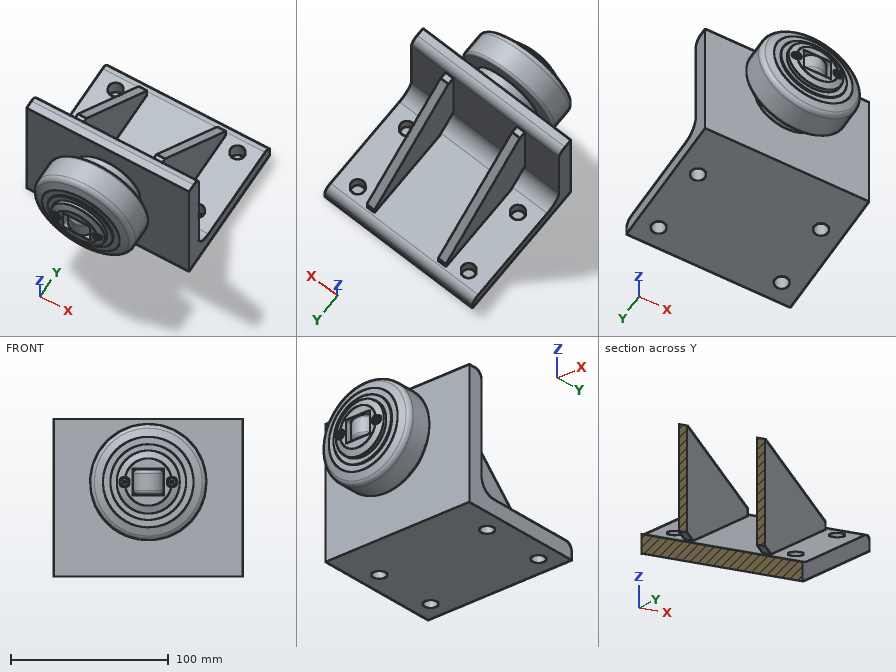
import cadquery as cq
import math

WIDTH = 120.0
LEG = 100.0
THICKNESS = 12.0
INNER_RADIUS = 12.0
EDGE_RADIUS = 6.0

HOLE_DIAMETER = 10.11
HOLE_PITCH_X = 90.0
HOLE_PITCH_Y = 50.0
HOLE_END_DISTANCE = 15.0

RIB_THICKNESS = 6.3
RIB_OFFSET = 29.0
RIB_HEIGHT = 92.0
RIB_TOP_LENGTH = 5.0
RIB_END_GAP = 8.0
RIB_TOE_HEIGHT = 5.0
RIB_CORNER_CLIP = 14.0

AXIS_HEIGHT = 60.0
HUB_RADIUS = 24.0
HUB_LENGTH = 34.2
TYRE_RADIUS = 36.9
TYRE_CROWN = 0.1
TYRE_BACK = 10.45
TYRE_BACK_ROUND = 2.0
TYRE_FRONT = 33.25
TYRE_FRONT_ROUND = 4.0
TYRE_FRONT_RADIUS = 28.7
TYRE_FRONT_ANGLE = math.radians(20)

CAP_RADIUS = 20.0
CAP_RIM = 36.6
CAP_TOP = 38.5
CAP_TOP_RADIUS = 15.0
WINDOW_WIDTH = 20.0
WINDOW_HEIGHT = 17.0
WINDOW_CORNER_RADIUS = 0.75

ROLLER_TIP = 40.0
ROLLER_RADIUS = 9.8
ROLLER_LENGTH = 16.0
ROLLER_ROUND = 2.5
ROLLER_AXIS = ROLLER_TIP - ROLLER_RADIUS

SCREW_OFFSET = 15.0
SCREW_BORE_DIAMETER = 6.5
SCREW_BORE_FLOOR = 34.5
SCREW_HEAD_DIAMETER = 5.35
SCREW_HEAD_TOP = 37.6
SOCKET_FLATS = 2.0
SOCKET_DEPTH = 1.5


def across_front(distance):
    """Workplane parallel to the mounting face, on the bearing axis, facing -Y."""
    return cq.Workplane("XZ", origin=(0, -distance, AXIS_HEIGHT))


def make_bracket():
    bracket = (
        cq.Workplane("YZ", origin=(-WIDTH / 2, 0, 0))
        .polyline([(0, 0), (LEG, 0), (LEG, THICKNESS), (THICKNESS, THICKNESS), (THICKNESS, LEG), (0, LEG)])
        .close()
        .extrude(WIDTH)
    )
    inner_edge = cq.selectors.NearestToPointSelector((0, THICKNESS, THICKNESS))
    bracket = bracket.edges(inner_edge).fillet(INNER_RADIUS)
    for y, z in [(LEG, THICKNESS), (THICKNESS, LEG)]:
        outer_edge = cq.selectors.NearestToPointSelector((0, y, z))
        bracket = bracket.edges(outer_edge).fillet(EDGE_RADIUS)

    holes = (
        cq.Workplane("XY", origin=(0, LEG - HOLE_END_DISTANCE - HOLE_PITCH_Y / 2, 0))
        .rarray(HOLE_PITCH_X, HOLE_PITCH_Y, 2, 2)
        .circle(HOLE_DIAMETER / 2)
        .extrude(THICKNESS)
    )
    return bracket.cut(holes)


def make_rib(center_x):
    end_y = LEG - RIB_END_GAP
    outline = [
        (THICKNESS, RIB_HEIGHT),
        (THICKNESS + RIB_TOP_LENGTH, RIB_HEIGHT),
        (end_y, THICKNESS + RIB_TOE_HEIGHT),
        (end_y, THICKNESS),
        (THICKNESS + RIB_CORNER_CLIP, THICKNESS),
        (THICKNESS, THICKNESS + RIB_CORNER_CLIP),
    ]
    plane = cq.Workplane("YZ", origin=(center_x - RIB_THICKNESS / 2, 0, 0))
    return plane.polyline(outline).close().extrude(RIB_THICKNESS)


def make_bearing_body():
    """Revolve hub, crowned tyre and cap; profile points are (radius, Y)."""
    shoulder = TYRE_RADIUS - TYRE_CROWN
    turn = math.pi / 2 - TYRE_FRONT_ANGLE
    round_end_radius = shoulder - TYRE_FRONT_ROUND * (1 - math.cos(turn))
    round_end = TYRE_FRONT - (round_end_radius - TYRE_FRONT_RADIUS) * math.tan(TYRE_FRONT_ANGLE)
    front_shoulder = round_end - TYRE_FRONT_ROUND * math.sin(turn)
    round_mid = (
        shoulder - TYRE_FRONT_ROUND * (1 - math.cos(turn / 2)),
        -(front_shoulder + TYRE_FRONT_ROUND * math.sin(turn / 2)),
    )
    back_shoulder = TYRE_BACK + TYRE_BACK_ROUND
    back_inset = TYRE_BACK_ROUND * (1 - math.sqrt(0.5))

    profile = (
        cq.Workplane("XY")
        .moveTo(0, 0)
        .lineTo(HUB_RADIUS, 0)
        .lineTo(HUB_RADIUS, -TYRE_BACK)
        .lineTo(shoulder - TYRE_BACK_ROUND, -TYRE_BACK)
        .threePointArc((shoulder - back_inset, -(TYRE_BACK + back_inset)), (shoulder, -back_shoulder))
        .threePointArc((TYRE_RADIUS, -(back_shoulder + front_shoulder) / 2), (shoulder, -front_shoulder))
        .threePointArc(round_mid, (round_end_radius, -round_end))
        .lineTo(TYRE_FRONT_RADIUS, -TYRE_FRONT)
        .lineTo(HUB_RADIUS, -TYRE_FRONT)
        .lineTo(HUB_RADIUS, -HUB_LENGTH)
        .lineTo(CAP_RADIUS, -HUB_LENGTH)
        .lineTo(CAP_RADIUS, -CAP_RIM)
        .lineTo(CAP_TOP_RADIUS, -CAP_TOP)
        .lineTo(0, -CAP_TOP)
        .close()
    )
    return profile.revolve(360, (0, 0, 0), (0, 1, 0)).translate((0, 0, AXIS_HEIGHT))


def make_window():
    depth = CAP_TOP - ROLLER_AXIS
    window = across_front(ROLLER_AXIS).rect(WINDOW_WIDTH, WINDOW_HEIGHT).extrude(depth)
    return window.edges("|Y").fillet(WINDOW_CORNER_RADIUS)


def make_axial_roller():
    return (
        cq.Workplane("XY", origin=(0, -ROLLER_AXIS, AXIS_HEIGHT - ROLLER_LENGTH / 2))
        .circle(ROLLER_RADIUS)
        .extrude(ROLLER_LENGTH)
        .edges()
        .fillet(ROLLER_ROUND)
    )


def add_cap_screws(body):
    """Sink two socket-head screws into bores at the edge of the cap."""
    centers = [(-SCREW_OFFSET, 0), (SCREW_OFFSET, 0)]
    socket_floor = SCREW_HEAD_TOP - SOCKET_DEPTH
    socket_corners = SOCKET_FLATS / math.cos(math.pi / 6)

    bores = (
        across_front(SCREW_BORE_FLOOR)
        .pushPoints(centers)
        .circle(SCREW_BORE_DIAMETER / 2)
        .extrude(CAP_TOP - SCREW_BORE_FLOOR)
    )
    heads = (
        across_front(SCREW_BORE_FLOOR)
        .pushPoints(centers)
        .circle(SCREW_HEAD_DIAMETER / 2)
        .extrude(SCREW_HEAD_TOP - SCREW_BORE_FLOOR)
    )
    sockets = across_front(socket_floor).pushPoints(centers).polygon(6, socket_corners).extrude(SOCKET_DEPTH)
    return body.cut(bores).union(heads.cut(sockets))


bearing = make_bearing_body().cut(make_window()).union(make_axial_roller())
bearing = add_cap_screws(bearing)

result = make_bracket().union(bearing)
for rib_x in (-RIB_OFFSET, RIB_OFFSET):
    result = result.union(make_rib(rib_x))